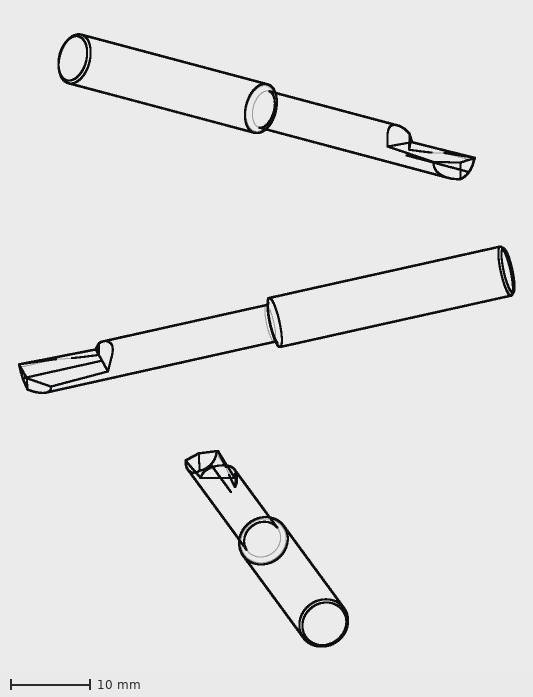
import cadquery as cq

total_length = 63.5
shank_radius = 3.2
shank_length = 30.7
back_chamfer = 0.3
neck_radius = 2.38
neck_fillet = 0.6

front_wall_start = 52.15
front_floor_start = 53.2
front_floor_height = 0.6
back_wall_start = 51.9
back_floor_start = 53.6
back_floor_height = -0.2
notch_bulge = 0.1
floor_end_height = -0.095

head_start = 53.1
back_edge_start = 2.15
tip_reach = 2.55
nose_x = 63.25
bevel_start = 60.8
relief_angle = 4.0
flank_bottom_y = 1.6
flank_bottom_z = -1.8
margin = 1.3


def make_body():
    """Turned shank and neck with a filleted shoulder."""
    return (
        cq.Workplane("XY")
        .moveTo(0, 0)
        .lineTo(0, shank_radius - back_chamfer)
        .lineTo(back_chamfer, shank_radius)
        .lineTo(shank_length, shank_radius)
        .lineTo(shank_length, neck_radius + neck_fillet)
        .radiusArc((shank_length + neck_fillet, neck_radius), -neck_fillet)
        .lineTo(total_length, neck_radius)
        .lineTo(total_length, 0)
        .close()
        .revolve(360, (0, 0, 0), (1, 0, 0))
    )


def make_flank():
    """Wedge under the cutting corner that reaches past the neck radius."""
    return (
        cq.Workplane("YZ", origin=(head_start, 0, 0))
        .moveTo(0, front_floor_height)
        .lineTo(tip_reach, front_floor_height)
        .lineTo(tip_reach, floor_end_height)
        .lineTo(flank_bottom_y, flank_bottom_z)
        .lineTo(0, flank_bottom_z)
        .close()
        .extrude(total_length - head_start)
    )


def make_head_envelope():
    """Plan shape of the head, narrowing downward for clearance."""
    bevel_slope = neck_radius / (nose_x - bevel_start)
    side_y = -neck_radius - margin
    outline = [
        (head_start - margin, side_y),
        (bevel_start - margin / bevel_slope, side_y),
        (nose_x, 0),
        (total_length, tip_reach),
        (head_start, back_edge_start),
        (head_start - margin, back_edge_start),
    ]
    lower = (
        cq.Workplane("XY", origin=(0, 0, floor_end_height))
        .polyline(outline).close()
        .extrude(-neck_radius - margin, taper=relief_angle)
    )
    upper = (
        cq.Workplane("XY", origin=(0, 0, floor_end_height))
        .polyline(outline).close()
        .extrude(neck_radius + margin)
    )
    return lower.union(upper)


def notch_profile(workplane, wall_start, floor_x, floor_height):
    """Side profile of the notch: bulged end wall, sloping floor, open top."""
    wall_middle = (
        (wall_start + floor_x) / 2 + notch_bulge,
        (neck_radius + floor_height) / 2 + notch_bulge,
    )
    return (
        workplane
        .moveTo(wall_start, neck_radius)
        .threePointArc(wall_middle, (floor_x, floor_height))
        .lineTo(total_length, floor_end_height)
        .lineTo(total_length + margin, floor_end_height)
        .lineTo(total_length + margin, neck_radius + margin)
        .lineTo(wall_start, neck_radius + margin)
        .close()
    )


def make_notch():
    """Ruled cut with a twisted floor that drops toward the cutting edge."""
    front = cq.Workplane("XZ", origin=(0, -shank_radius, 0))
    profiles = notch_profile(front, front_wall_start, front_floor_start, front_floor_height)
    profiles = profiles.workplane(offset=-2 * shank_radius)
    profiles = notch_profile(profiles, back_wall_start, back_floor_start, back_floor_height)
    return profiles.loft(ruled=True)


head_zone = cq.Workplane("XY").box(
    total_length, 2 * shank_radius, 2 * shank_radius, centered=(False, True, True)
).translate((head_start, 0, 0))

body = make_body()
head = body.intersect(head_zone).union(make_flank()).intersect(make_head_envelope())
result = body.cut(head_zone).union(head).cut(make_notch())